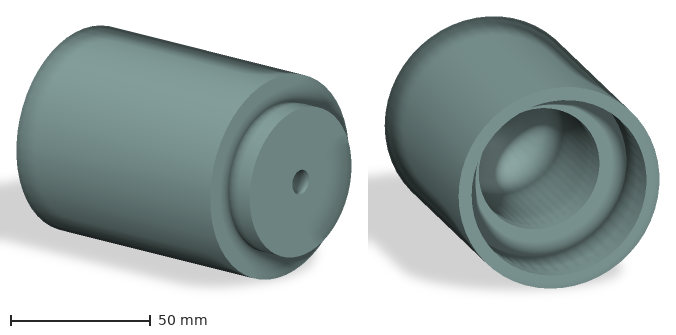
import cadquery as cq
import math

total_length = 102.6
body_radius = 75.0 / 2
spigot_radius = 55.0 / 2
spigot_length = 10.0
body_length = total_length - spigot_length

socket_radius = 65.2 / 2
socket_depth = 25.0
throat_radius = 45.0 / 2
outlet_radius = 4.5
outlet_length = spigot_length

cone_half_angle = math.radians(58)
cone_large_radius = 18.7
cone_small_radius = 9.5


def arc_radius(radial_change):
    """Radius of an arc that turns from the axis direction to the cone slope."""
    return radial_change / (1 - math.cos(cone_half_angle))


inlet_arc = arc_radius(throat_radius - cone_large_radius)
outlet_arc = arc_radius(cone_small_radius - outlet_radius)
cone_length = (cone_large_radius - cone_small_radius) / math.tan(cone_half_angle)

outlet_start = total_length - outlet_length
cone_end = outlet_start - outlet_arc * math.sin(cone_half_angle)
cone_start = cone_end - cone_length
throat_end = cone_start - inlet_arc * math.sin(cone_half_angle)


def arc_middle(tangent_x, tangent_radius, radius, direction):
    """Midpoint of an arc leaving a cylinder; direction points from the cylinder into the arc."""
    half_turn = cone_half_angle / 2
    along = radius * math.sin(half_turn)
    across = radius * (1 - math.cos(half_turn))
    return tangent_x + direction * along, tangent_radius - direction * across


inlet_middle = arc_middle(throat_end, throat_radius, inlet_arc, 1)
outlet_middle = arc_middle(outlet_start, outlet_radius, outlet_arc, -1)

section = (
    cq.Workplane("XY")
    .moveTo(0, socket_radius)
    .lineTo(0, body_radius)
    .lineTo(body_length, body_radius)
    .lineTo(body_length, spigot_radius)
    .lineTo(total_length, spigot_radius)
    .lineTo(total_length, outlet_radius)
    .lineTo(outlet_start, outlet_radius)
    .threePointArc(outlet_middle, (cone_end, cone_small_radius))
    .lineTo(cone_start, cone_large_radius)
    .threePointArc(inlet_middle, (throat_end, throat_radius))
    .lineTo(socket_depth, throat_radius)
    .lineTo(socket_depth, socket_radius)
    .close()
)

result = section.revolve(360, (0, 0, 0), (1, 0, 0))